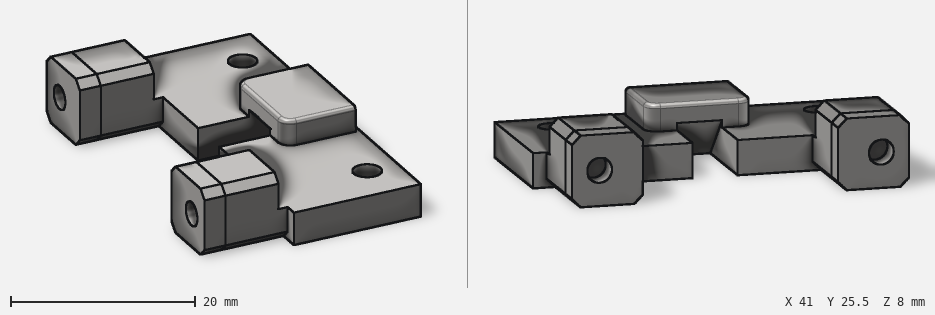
import cadquery as cq

PLATE_WIDTH = 41.0
PLATE_DEPTH = 15.4
PLATE_THICKNESS = 3.95
MOUNT_HOLE_DIAMETER = 3.2
MOUNT_HOLE_INSET_X = 5.55
MOUNT_HOLE_INSET_Y = 3.75

PAD_WIDTH = 11.8
PAD_REAR_INSET = 0.55
PAD_DEPTH = 8.7
PAD_TOP = 6.95
PAD_CORNER_RADIUS = 1.5
PAD_EDGE_RADIUS = 0.5

SLOT_WIDTH = 5.1
SLOT_TOP = 4.75

TOTAL_DEPTH = 25.5
ARM_SIZE = 8.0
ARM_BEVEL = 1.0
ARM_INSET = 1.5
ARM_RAISED_START = 16.52
CAP_THICKNESS = 2.55
CAP_HOLE_DIAMETER = 2.8
CAP_HOLE_INSET = 4.65

SIDES = (-1, 1)
ARM_X = PLATE_WIDTH / 2 - ARM_INSET - ARM_SIZE / 2
CAP_HOLE_X = PLATE_WIDTH / 2 - CAP_HOLE_INSET
CAP_REAR = TOTAL_DEPTH - CAP_THICKNESS
PAD_FRONT = PAD_REAR_INSET + PAD_DEPTH


def block(width, depth, height, x_centre, rear):
    """Box standing on Z = 0 that reaches forward (-Y) from its rear distance."""
    box = cq.Workplane("XY").box(width, depth, height, centered=(True, False, False))
    return box.translate((x_centre, -rear - depth, 0))


def make_pad():
    pad = block(PAD_WIDTH, PAD_DEPTH, PAD_TOP - PLATE_THICKNESS, 0, PAD_REAR_INSET)
    pad = pad.edges("|Z and <Y").fillet(PAD_CORNER_RADIUS)
    pad = pad.faces(">Z").edges("not >Y").fillet(PAD_EDGE_RADIUS)
    return pad.translate((0, 0, PLATE_THICKNESS))


def make_slot_cutter():
    """Slot volume with a 45 degree rear wall that meets the pad's front face."""
    wall_bottom = PAD_FRONT - SLOT_TOP
    side_outline = [
        (-wall_bottom, 0),
        (-PAD_FRONT, SLOT_TOP),
        (-PLATE_DEPTH, SLOT_TOP),
        (-PLATE_DEPTH, 0),
    ]
    return cq.Workplane("YZ").polyline(side_outline).close().extrude(SLOT_WIDTH / 2, both=True)


def make_arm(side):
    """Arm, low next to the plate and full height farther forward."""
    arm = block(ARM_SIZE, CAP_REAR - PLATE_DEPTH, ARM_SIZE, side * ARM_X, PLATE_DEPTH)
    arm = arm.edges("|Y").chamfer(ARM_BEVEL)
    step = block(ARM_SIZE, ARM_RAISED_START - PLATE_DEPTH, ARM_SIZE, side * ARM_X, PLATE_DEPTH)
    return arm.cut(step.translate((0, 0, PLATE_THICKNESS)))


def make_mount_holes():
    hole_x = PLATE_WIDTH / 2 - MOUNT_HOLE_INSET_X
    centres = [(side * hole_x, -MOUNT_HOLE_INSET_Y) for side in SIDES]
    holes = cq.Workplane("XY").pushPoints(centres)
    return holes.circle(MOUNT_HOLE_DIAMETER / 2).extrude(PLATE_THICKNESS)


def make_base():
    base = block(PLATE_WIDTH, PLATE_DEPTH, PLATE_THICKNESS, 0, 0)
    base = base.union(make_pad())
    for side in SIDES:
        base = base.union(make_arm(side))
    return base.cut(make_mount_holes()).cut(make_slot_cutter())


def make_end_cap(side):
    """Bevelled end cap with a hole through it, off centre towards the outside."""
    cap = block(ARM_SIZE, CAP_THICKNESS, ARM_SIZE, side * ARM_X, CAP_REAR)
    cap = cap.edges("|Y").chamfer(ARM_BEVEL)
    hole = cq.Workplane("XZ", origin=(side * CAP_HOLE_X, -CAP_REAR, ARM_SIZE / 2))
    return cap.cut(hole.circle(CAP_HOLE_DIAMETER / 2).extrude(CAP_THICKNESS))


base = make_base()
end_caps = [make_end_cap(side) for side in SIDES]
result = cq.Compound.makeCompound([base.val(), *[cap.val() for cap in end_caps]])